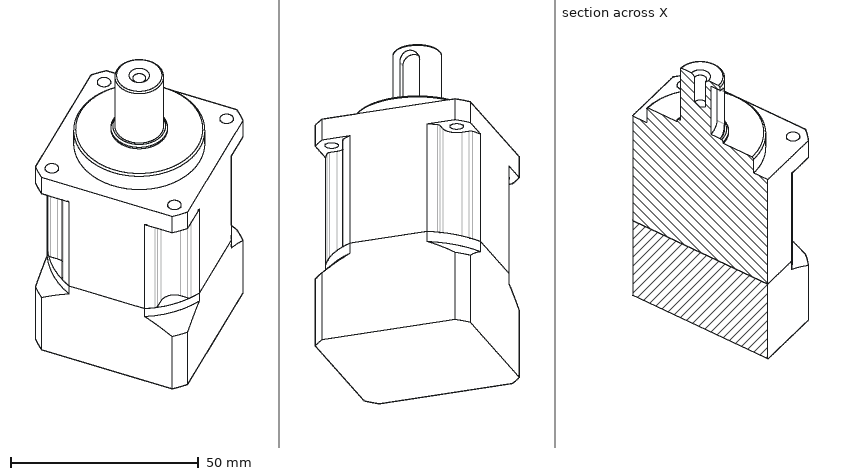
import cadquery as cq
import math

SIDE = 44.0
TOTAL_HEIGHT = 90.0
CORNER_RADIUS = 29.0
WAIST_RADIUS = 24.6

JOINT_Z = 27.0
CONE_TOP_Z = 24.0
CONE_BOTTOM_Z = CONE_TOP_Z - (CORNER_RADIUS - WAIST_RADIUS)

FLANGE_BOTTOM_Z = 58.4
FLANGE_TOP_Z = 64.5
BOSS_RADIUS = 17.5
BOSS_TOP_Z = 70.0
BOSS_CHAMFER = 0.5

HOLE_OFFSET = 17.7
HOLE_DIAMETER = 3.6
CHANNEL_RADIUS = 4.0
CHANNEL_LIP_FILLET = 1.0

SHAFT_RADIUS = 6.5
SHAFT_CHAMFER = 0.45
COLLAR_RADIUS = 7.6
COLLAR_HEIGHT = 1.1
COLLAR_CHAMFER = 0.5

KEY_WIDTH = 5.6
KEY_DEPTH = 3.0
KEY_BOTTOM_Z = 71.2
KEY_TOP_Z = 88.3

CENTRE_HOLE_DIAMETER = 3.4
CENTRE_HOLE_DEPTH = 9.9
COUNTERSINK_DIAMETER = 5.4
COUNTERSINK_ANGLE = 90.0
DRILL_POINT_ANGLE = 120.0

CORNER_SIGNS = [(sx, sy) for sx in (-1, 1) for sy in (-1, 1)]


def cylinder(radius, bottom, top):
    return cq.Workplane("XY").workplane(offset=bottom).circle(radius).extrude(top - bottom)


def rounded_square(corner_radius, bottom, top):
    """Square block whose corners lie on a cylinder about Z."""
    block = cq.Workplane("XY").workplane(offset=bottom).rect(SIDE, SIDE).extrude(top - bottom)
    return block.intersect(cylinder(corner_radius, bottom, top))


def make_adapter():
    """Motor-side block: square, with corners that taper in to the waist at the joint."""
    block = cq.Workplane("XY").rect(SIDE, SIDE).extrude(JOINT_Z)
    envelope = (
        cq.Workplane("XZ")
        .moveTo(0, 0)
        .lineTo(CORNER_RADIUS, 0)
        .lineTo(CORNER_RADIUS, CONE_BOTTOM_Z)
        .lineTo(WAIST_RADIUS, CONE_TOP_Z)
        .lineTo(WAIST_RADIUS, JOINT_Z)
        .lineTo(0, JOINT_Z)
        .close()
        .revolve(360, (0, 0, 0), (0, 1, 0))
    )
    return block.intersect(envelope)


def screw_channel(sign_x, sign_y):
    """Corner cutter with its inner edge rounded concentrically with the mounting hole."""
    inner = HOLE_OFFSET - CHANNEL_RADIUS
    size = WAIST_RADIUS - inner
    centre = inner + size / 2
    cutter = (
        cq.Workplane("XY")
        .workplane(offset=JOINT_Z)
        .center(centre, centre)
        .rect(size, size)
        .extrude(FLANGE_BOTTOM_Z - JOINT_Z)
        .edges("|Z and <X and <Y")
        .fillet(CHANNEL_RADIUS)
    )
    if sign_x < 0:
        cutter = cutter.mirror("YZ")
    if sign_y < 0:
        cutter = cutter.mirror("XZ")
    return cutter


def is_channel_lip(edge):
    """True for the edges where a channel wall breaks out through the waist cylinder."""
    centre = edge.Center()
    on_waist = math.isclose(math.hypot(centre.x, centre.y), WAIST_RADIUS, abs_tol=0.01)
    on_side = math.isclose(max(abs(centre.x), abs(centre.y)), SIDE / 2, abs_tol=0.01)
    return on_waist and not on_side


def make_housing():
    """Waisted body with four screw channels, mounting flange and pilot boss."""
    waist = rounded_square(WAIST_RADIUS, JOINT_Z, FLANGE_BOTTOM_Z)
    for sign_x, sign_y in CORNER_SIGNS:
        waist = waist.cut(screw_channel(sign_x, sign_y))
    waist = waist.edges("|Z").filter(is_channel_lip).fillet(CHANNEL_LIP_FILLET)

    hole_centres = [(sx * HOLE_OFFSET, sy * HOLE_OFFSET) for sx, sy in CORNER_SIGNS]
    flange = (
        rounded_square(CORNER_RADIUS, FLANGE_BOTTOM_Z, FLANGE_TOP_Z)
        .faces(">Z")
        .workplane(origin=(0, 0, FLANGE_TOP_Z))
        .pushPoints(hole_centres)
        .hole(HOLE_DIAMETER)
    )
    boss = cylinder(BOSS_RADIUS, FLANGE_TOP_Z, BOSS_TOP_Z).faces(">Z").chamfer(BOSS_CHAMFER)
    return waist.union(flange).union(boss)


def make_keyway():
    """Round-ended slot cutter, open toward +Y."""
    length = KEY_TOP_Z - KEY_BOTTOM_Z
    return (
        cq.Workplane("XZ", origin=(0, SHAFT_RADIUS, (KEY_TOP_Z + KEY_BOTTOM_Z) / 2))
        .slot2D(length, KEY_WIDTH, 90)
        .extrude(KEY_DEPTH)
    )


def make_centre_hole():
    """Drilled hole with a countersunk mouth and a conical bottom."""
    hole_radius = CENTRE_HOLE_DIAMETER / 2
    sink_radius = COUNTERSINK_DIAMETER / 2
    sink_depth = (sink_radius - hole_radius) / math.tan(math.radians(COUNTERSINK_ANGLE / 2))
    point_depth = hole_radius / math.tan(math.radians(DRILL_POINT_ANGLE / 2))
    bottom = TOTAL_HEIGHT - CENTRE_HOLE_DEPTH
    return (
        cq.Workplane("XZ")
        .moveTo(0, TOTAL_HEIGHT)
        .lineTo(sink_radius, TOTAL_HEIGHT)
        .lineTo(hole_radius, TOTAL_HEIGHT - sink_depth)
        .lineTo(hole_radius, bottom)
        .lineTo(0, bottom - point_depth)
        .close()
        .revolve(360, (0, 0, 0), (0, 1, 0))
    )


def make_shaft():
    """Keyed output shaft standing on a chamfered collar."""
    collar_top = BOSS_TOP_Z + COLLAR_HEIGHT
    collar = cylinder(COLLAR_RADIUS, BOSS_TOP_Z, collar_top).faces(">Z").chamfer(COLLAR_CHAMFER)
    shaft = cylinder(SHAFT_RADIUS, BOSS_TOP_Z, TOTAL_HEIGHT).faces(">Z").chamfer(SHAFT_CHAMFER)
    return shaft.union(collar).cut(make_keyway()).cut(make_centre_hole())


def make_gearbox():
    """Housing and output shaft as one solid."""
    return make_housing().union(make_shaft())


adapter = make_adapter()
gearbox = make_gearbox()

result = cq.Compound.makeCompound([adapter.val(), gearbox.val()])